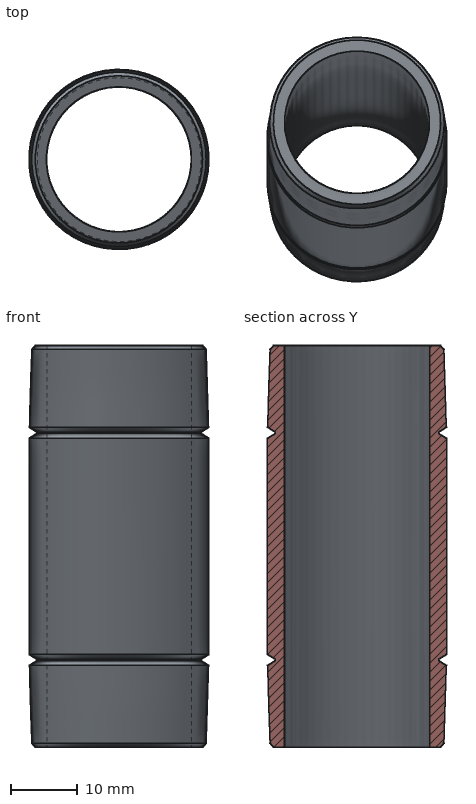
import cadquery as cq

length = 60.0
body_radius = 13.45
bore_radius = 10.8

end_length = 12.25
tip_radius = 13.0
taper_end_radius = 13.4
chamfer_height = 0.6
chamfer_depth = 0.55

groove_width = 1.6
groove_floor_width = 0.2
groove_depth = 1.2

groove_middle = end_length + groove_width / 2
groove_floor_radius = body_radius - groove_depth
body_start = end_length + groove_width


def half_outline():
    """Outer outline as (radius, distance from the end face), from end to body."""
    return [
        (tip_radius - chamfer_depth, 0),
        (tip_radius, chamfer_height),
        (taper_end_radius, end_length),
        (groove_floor_radius, groove_middle - groove_floor_width / 2),
        (groove_floor_radius, groove_middle + groove_floor_width / 2),
        (body_radius, body_start),
    ]


lower_outline = half_outline()
upper_outline = [(radius, length - height) for radius, height in reversed(lower_outline)]
bore_line = [(bore_radius, length), (bore_radius, 0)]

result = (
    cq.Workplane("XZ")
    .polyline(lower_outline + upper_outline + bore_line)
    .close()
    .revolve(360, (0, 0, 0), (0, 1, 0))
)